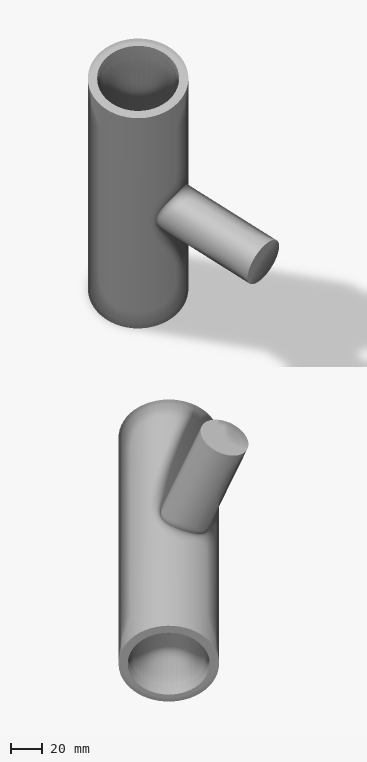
import cadquery as cq

main_outer_diameter = 63.0
main_wall = 5.8
main_length = 216.0
main_bore_diameter = main_outer_diameter - 2 * main_wall

branch_diameter = 32.0
branch_reach = 100.0


def upright_cylinder(diameter):
    """Cylinder on the Z axis over the full length of the main pipe."""
    return cq.Workplane("XY").circle(diameter / 2).extrude(main_length / 2, both=True)


def branch_cylinder(diameter):
    """Cylinder along +X from the main axis to the branch end face."""
    return cq.Workplane("YZ").circle(diameter / 2).extrude(branch_reach)


body = upright_cylinder(main_outer_diameter).union(branch_cylinder(branch_diameter))

result = body.cut(upright_cylinder(main_bore_diameter))